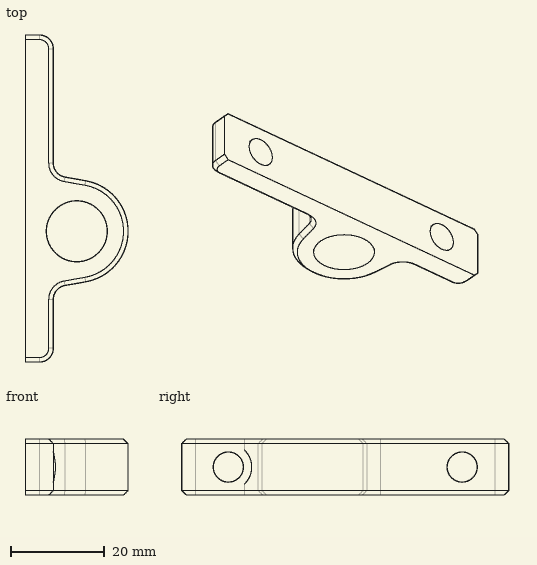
import cadquery as cq
import math

plate_length = 70.0
plate_thickness = 6.0
height = 12.0
overall_depth = 22.0
boss_radius = 11.0
boss_center_y = -7.0
bore_diameter = 13.0
flank_angle = math.radians(10.0)
fillet_radius = 3.0
chamfer_size = 1.0
screw_hole_diameter = 6.4
screw_spacing = 50.0
screw_seat_diameter = 10.0

half_length = plate_length / 2
boss_center_x = overall_depth - boss_radius
tangent_x = boss_center_x + boss_radius * math.sin(flank_angle)
tangent_half_width = boss_radius * math.cos(flank_angle)
root_half_width = tangent_half_width + (tangent_x - plate_thickness) * math.tan(flank_angle)
root_low_y = boss_center_y - root_half_width
root_high_y = boss_center_y + root_half_width


def make_body():
    """Plate and rounded boss as one prism, centred on Z = 0."""
    body = (
        cq.Workplane("XY")
        .workplane(offset=-height / 2)
        .moveTo(0, -half_length)
        .lineTo(plate_thickness, -half_length)
        .lineTo(plate_thickness, root_low_y)
        .lineTo(tangent_x, boss_center_y - tangent_half_width)
        .threePointArc((overall_depth, boss_center_y), (tangent_x, boss_center_y + tangent_half_width))
        .lineTo(plate_thickness, root_high_y)
        .lineTo(plate_thickness, half_length)
        .lineTo(0, half_length)
        .close()
        .extrude(height)
    )
    corner_points = [
        (plate_thickness, y, 0)
        for y in (-half_length, root_low_y, root_high_y, half_length)
    ]
    for point in corner_points:
        corner_edge = cq.selectors.NearestToPointSelector(point)
        body = body.edges("|Z").edges(corner_edge).fillet(fillet_radius)
    return body


def chamfer_outline(body):
    """Bevel the top and bottom outlines, leaving the mounting face edges sharp."""
    return body.faces("|Z").edges("not(<X)").chamfer(chamfer_size)


def cut_bore(body):
    """Bore through the boss along Z."""
    bore = (
        cq.Workplane("XY")
        .center(boss_center_x, boss_center_y)
        .circle(bore_diameter / 2)
        .extrude(height, both=True)
    )
    return body.cut(bore)


def screw_cylinders(diameter, start_x, end_x):
    """Pair of cylinders along X at the two screw positions."""
    return (
        cq.Workplane("YZ")
        .workplane(offset=start_x)
        .pushPoints([(-screw_spacing / 2, 0), (screw_spacing / 2, 0)])
        .circle(diameter / 2)
        .extrude(end_x - start_x)
    )


def cut_screw_holes(body):
    """Cut the screw holes; the head clearance trims the boss root next to one of them."""
    holes = screw_cylinders(screw_hole_diameter, 0, plate_thickness)
    seat_cut = screw_cylinders(screw_seat_diameter, plate_thickness, overall_depth)
    return body.cut(holes).cut(seat_cut)


result = cut_screw_holes(cut_bore(chamfer_outline(make_body())))